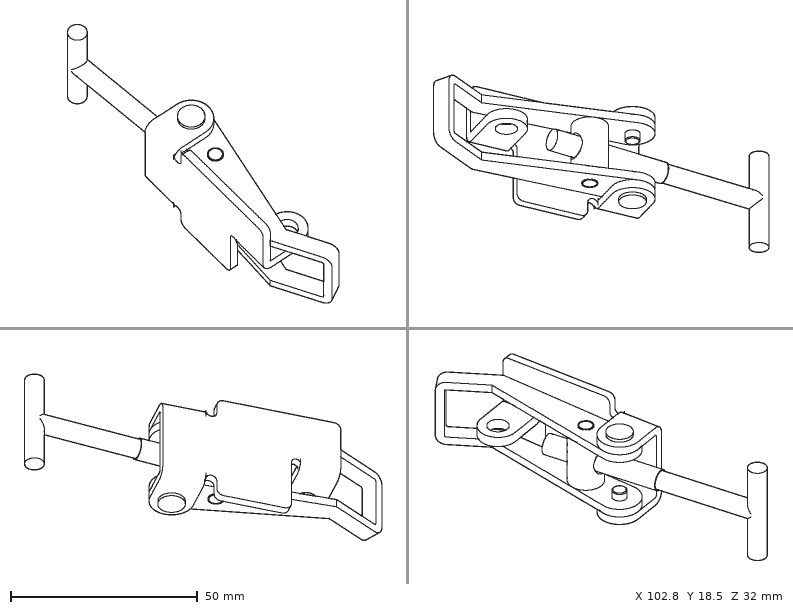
import cadquery as cq
import math


sheet = 2.5
inner_bend = 0.5
outer_bend = sheet + inner_bend

plate_right = 44.1
plate_height = 32.0
plate_half_height = plate_height / 2
lower_right = 30.2
shoulder_left = 9.1
corner_radius = 2.0
notch_floor = 10.0

pivot_y = 11.0
ear_radius = 6.1
ear_outer = 12.5
ear_inner = ear_outer - sheet

tab_thickness = 3.0
tab_radius = 5.7
tab_x = plate_right - tab_radius
tab_left = tab_x - tab_radius
tab_y = 12.8
tab_hole_radius = 3.0
tab_relief_top = 1.1

lever_outer = ear_inner
lever_inner = lever_outer - sheet
lever_head_radius = ear_radius
arm_height = 5.0
arm_angle = 29
arm_bottom = (43.8, 2.7)
arm_top_x = 43.6
lever_right = 59.4
bar_length = 2 * lever_right

rivet_shank_radius = 2.1
rivet_head_radius = 3.7
rivet_head_height = 0.9
rivet_inner_end = 5.2
pin_chamfer = 0.26

barrel_x = 12.0
barrel_y = 9.6
barrel_radius = 5.0
trunnion_radius = 2.2
countersink_radius = 3.8

bolt_angle = 5.2
thread_radius = 3.0
shank_radius = 2.7
thread_start = -22.9
thread_end = 11.8
handle_distance = 52.9
handle_radius = 2.7
handle_length = 28.3


def along_z(x, y, radius, z_low, z_high):
    """Round bar parallel to Z."""
    return cq.Workplane("XY", origin=(x, y, z_low)).circle(radius).extrude(z_high - z_low)


def along_bolt(radius, start, end):
    """Round bar on the T-bolt axis, between two distances from the barrel centre."""
    angle = math.radians(bolt_angle)
    direction = cq.Vector(math.cos(angle), math.sin(angle), 0)
    origin = cq.Vector(barrel_x, barrel_y, 0) + direction * start
    plane = cq.Plane(origin=origin, xDir=(0, 0, 1), normal=direction)
    return cq.Workplane(plane).circle(radius).extrude(end - start)


def bracket_plate():
    """Flat plate with corner relief notches; it stops where the bends of the ears and the tab begin."""
    neck = ear_outer - outer_bend
    notch_radius = (shoulder_left - ear_radius) / 2
    notch_x = ear_radius + notch_radius
    notch_z = notch_floor + notch_radius
    tab_bend_z = outer_bend - tab_thickness / 2
    relief_radius = (tab_left - lower_right) / 2
    relief_z = tab_relief_top - relief_radius
    plate = (
        cq.Workplane("XZ")
        .moveTo(-ear_radius, -neck)
        .lineTo(ear_radius, -neck)
        .lineTo(ear_radius, -notch_z)
        .threePointArc((notch_x, -notch_floor), (shoulder_left, -notch_z))
        .lineTo(shoulder_left, -plate_half_height)
        .lineTo(lower_right, -plate_half_height)
        .lineTo(lower_right, relief_z)
        .threePointArc((lower_right + relief_radius, tab_relief_top), (tab_left, relief_z))
        .lineTo(tab_left, tab_bend_z)
        .lineTo(plate_right, tab_bend_z)
        .lineTo(plate_right, plate_half_height)
        .lineTo(shoulder_left, plate_half_height)
        .lineTo(shoulder_left, notch_z)
        .threePointArc((notch_x, notch_floor), (ear_radius, notch_z))
        .lineTo(ear_radius, neck)
        .lineTo(-ear_radius, neck)
        .close()
        .extrude(-sheet)
    )
    corners = [
        (shoulder_left, -plate_half_height),
        (lower_right, -plate_half_height),
        (plate_right, plate_half_height),
        (shoulder_left, plate_half_height),
    ]
    for x, z in corners:
        plate = plate.edges(cq.selectors.NearestToPointSelector((x, sheet / 2, z))).fillet(corner_radius)
    return plate


def rounded_lug(x, y, radius, half_height):
    """Block standing on Y = 0 with a full round at its top."""
    return (
        cq.Workplane("XY")
        .moveTo(x - radius, 0)
        .lineTo(x + radius, 0)
        .lineTo(x + radius, y)
        .threePointArc((x, y + radius), (x - radius, y))
        .close()
        .extrude(half_height, both=True)
    )


def bracket_ears():
    """Two ears joined by a bent channel, with the rivet holes."""
    lug = rounded_lug(0, pivot_y, ear_radius, ear_outer).faces("<Y").edges("|X").fillet(outer_bend)
    channel_height = 2 * (pivot_y + ear_radius)
    channel = (
        cq.Workplane("XY")
        .box(2 * ear_radius, channel_height, 2 * ear_inner, centered=(True, False, True))
        .translate((0, sheet, 0))
        .faces("<Y")
        .edges("|X")
        .fillet(inner_bend)
    )
    hole = along_z(0, pivot_y, rivet_shank_radius, -ear_outer, ear_outer)
    return lug.cut(channel).cut(hole)


def bracket_tab():
    """Tab bent up from the plate, rounded outside the bend through its whole thickness, with an eye hole."""
    half = tab_thickness / 2
    bend_profile = (
        cq.Workplane("YZ", origin=(tab_left, 0, 0))
        .moveTo(0, half)
        .radiusArc((tab_thickness, -half), -tab_thickness)
        .lineTo(tab_y + tab_radius, -half)
        .lineTo(tab_y + tab_radius, half)
        .close()
        .extrude(2 * tab_radius)
    )
    tab = rounded_lug(tab_x, tab_y, tab_radius, half).intersect(bend_profile)
    return tab.cut(along_z(tab_x, tab_y, tab_hole_radius, -half, half))


def make_bracket():
    return bracket_plate().union(bracket_ears()).union(bracket_tab())


def tangent_on_head(point, side):
    """Point where the line from an outside point touches the lever head; side is 1 above, -1 below."""
    dx = point[0]
    dy = point[1] - pivot_y
    angle = math.atan2(dy, dx) + side * math.acos(lever_head_radius / math.hypot(dx, dy))
    return (lever_head_radius * math.cos(angle), pivot_y + lever_head_radius * math.sin(angle))


def lever_side():
    """Side shape of the lever, as a solid block over its full width."""
    angle = math.radians(arm_angle)
    rise = math.tan(angle)
    arm_top = (arm_top_x, arm_bottom[1] + arm_height / math.cos(angle) + (arm_top_x - arm_bottom[0]) * rise)
    end_bottom = (lever_right, arm_bottom[1] + (lever_right - arm_bottom[0]) * rise)
    end_top = (
        end_bottom[0] - arm_height * math.sin(angle),
        end_bottom[1] + arm_height * math.cos(angle),
    )
    block = (
        cq.Workplane("XY")
        .moveTo(*tangent_on_head(arm_bottom, -1))
        .lineTo(*arm_bottom)
        .lineTo(*end_bottom)
        .lineTo(*end_top)
        .lineTo(*arm_top)
        .lineTo(*tangent_on_head(arm_top, 1))
        .threePointArc((-lever_head_radius, pivot_y), tangent_on_head(arm_bottom, -1))
        .close()
        .extrude(lever_outer, both=True)
    )
    return block, end_bottom


def rounded_bar(end, half_width, radius):
    """Long deep bar along -X that ends at X = end with two rounded corners."""
    bar = (
        cq.Workplane("XY")
        .box(bar_length, bar_length, 2 * half_width)
        .translate((end - bar_length / 2, 0, 0))
    )
    return bar.faces(">X").edges("|Y").fillet(radius)


def make_lever():
    """Two arms joined by a crossbar; the U bend lies square to the raised end of the arms."""
    block, end = lever_side()
    strip = rounded_bar(0, lever_outer, outer_bend).cut(rounded_bar(-sheet, lever_inner, inner_bend))
    strip = strip.rotate((0, 0, 0), (0, 0, 1), arm_angle).translate((end[0], end[1], 0))
    lever = block.intersect(strip)
    lever = lever.cut(along_z(0, pivot_y, rivet_shank_radius, -lever_outer, lever_outer))
    return lever.cut(along_z(barrel_x, barrel_y, trunnion_radius, -lever_outer, lever_outer))


def make_rivet(side):
    """Rivet through one ear and one lever arm; side is 1 for the +Z ear and -1 for the -Z ear."""
    head_top = ear_outer + rivet_head_height
    shank = along_z(0, pivot_y, rivet_shank_radius, rivet_inner_end, ear_outer)
    shank = shank.faces("<Z").chamfer(pin_chamfer)
    rivet = shank.union(along_z(0, pivot_y, rivet_head_radius, ear_outer, head_top))
    return rivet if side > 0 else rivet.mirror("XY")


def countersink(end):
    """45 degree cone around the bolt hole; end is -1 for the handle side and 1 for the far side."""
    angle = math.radians(bolt_angle)
    inward = cq.Vector(-end * math.cos(angle), -end * math.sin(angle), 0)
    base = cq.Vector(barrel_x, barrel_y, 0) - inward * barrel_radius
    return cq.Workplane(cq.Solid.makeCone(countersink_radius, 0, countersink_radius, base, inward))


def make_barrel():
    """Cross barrel with a trunnion at each end and a countersunk hole for the T-bolt."""
    trunnions = along_z(barrel_x, barrel_y, trunnion_radius, -lever_outer, lever_outer)
    trunnions = trunnions.faces("<Z or >Z").chamfer(pin_chamfer)
    barrel = along_z(barrel_x, barrel_y, barrel_radius, -lever_inner, lever_inner).union(trunnions)
    barrel = barrel.cut(along_bolt(thread_radius, -barrel_radius, barrel_radius))
    for end in (-1, 1):
        barrel = barrel.cut(countersink(end))
    return barrel


def make_t_bolt():
    """Threaded rod with a thinner shank and a cross handle."""
    thread = along_bolt(thread_radius, thread_start, thread_end)
    shank = along_bolt(shank_radius, -handle_distance, thread_start)
    angle = math.radians(bolt_angle)
    handle = along_z(
        barrel_x - handle_distance * math.cos(angle),
        barrel_y - handle_distance * math.sin(angle),
        handle_radius,
        -handle_length / 2,
        handle_length / 2,
    )
    return thread.union(shank).union(handle)


bracket = make_bracket()
lever = make_lever()
rivets = [make_rivet(side) for side in (1, -1)]
barrel = make_barrel()
t_bolt = make_t_bolt()

result = cq.Compound.makeCompound(
    [bracket.val(), lever.val(), *[rivet.val() for rivet in rivets], barrel.val(), t_bolt.val()]
)